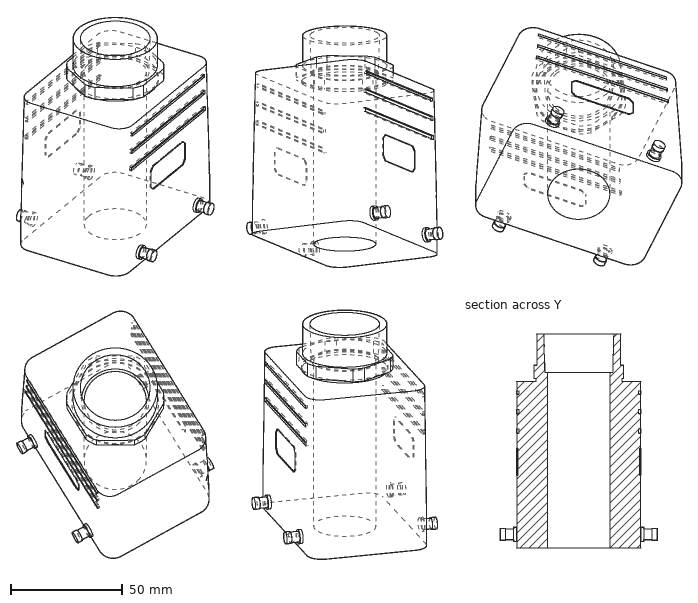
import cadquery as cq
import math

total_height = 96.5
total_width = 70.8
body_width = 56.0
skirt_depth = 82.0
roof_depth = 76.1
corner_radius = 7.0

skirt_top = 14.9
roof_level = 75.1
hex_bottom = 76.3
hex_top = 82.4
bore_shoulder = 79.1

collar_diameter = 39.0
hex_across_flats = 40.3
hex_across_corners = 43.8
socket_diameter = 38.0
socket_bore_mouth = 31.4
socket_bore_end = 30.4
through_bore = 28.0

pin_spacing = 49.4
pin_level = 6.2
flange_diameter = 6.5
flange_length = 1.35
neck_diameter = 4.9
head_diameter = 5.5
head_length = 2.3

groove_levels = [(51.8, 53.6), (60.6, 62.3), (69.4, 70.7)]
groove_depth = 1.0

label_width = 30.0
label_height = 12.1
label_level = 38.9
label_corner = 2.1
label_recess = 0.5

half_width = body_width / 2


def rounded_rectangle(depth):
    return cq.Sketch().rect(body_width, depth).vertices().fillet(corner_radius)


def cylinder_z(diameter, bottom, top):
    return cq.Workplane("XY").workplane(offset=bottom).circle(diameter / 2).extrude(top - bottom)


def make_housing():
    """Straight skirt with a hood above it that narrows in Y only."""
    skirt = cq.Workplane("XY").placeSketch(rounded_rectangle(skirt_depth)).extrude(skirt_top)
    hood_height = roof_level - skirt_top
    hood = (
        cq.Workplane("XY").workplane(offset=skirt_top)
        .placeSketch(
            rounded_rectangle(skirt_depth),
            rounded_rectangle(roof_depth).moved(cq.Location(cq.Vector(0, 0, hood_height))),
        )
        .loft(ruled=True)
    )
    return skirt.union(hood)


def flat_depth(level):
    """Y length of the flat side wall between the rounded corners at a hood level."""
    rise = (level - skirt_top) / (roof_level - skirt_top)
    return skirt_depth + (roof_depth - skirt_depth) * rise - 2 * corner_radius


def make_groove(side, bottom, top):
    return cq.Workplane("XY").box(2 * groove_depth, flat_depth(top), top - bottom).translate(
        (side * half_width, 0, (bottom + top) / 2)
    )


def make_label_recess(side):
    return (
        cq.Workplane("XY").box(2 * label_recess, label_width, label_height)
        .edges("|X").chamfer(label_corner)
        .translate((side * half_width, 0, label_level))
    )


def make_cable_entry():
    """Collar, hexagon and socket stacked on the roof."""
    hex_height = hex_top - hex_bottom
    hexagon = (
        cq.Workplane("XY").workplane(offset=hex_bottom)
        .transformed(rotate=(0, 0, 30))
        .polygon(6, hex_across_flats / math.cos(math.pi / 6))
        .extrude(hex_height)
        .intersect(cylinder_z(hex_across_corners, hex_bottom, hex_top))
    )
    collar = cylinder_z(collar_diameter, roof_level, hex_bottom)
    socket = cylinder_z(socket_diameter, hex_top, total_height)
    return collar.union(hexagon).union(socket)


def make_bore():
    """Slightly conical socket bore ending on a shoulder, then a plain bore through the part."""
    return (
        cq.Workplane("XZ")
        .polyline([
            (0, 0),
            (through_bore / 2, 0),
            (through_bore / 2, bore_shoulder),
            (socket_bore_end / 2, bore_shoulder),
            (socket_bore_mouth / 2, total_height),
            (0, total_height),
        ])
        .close()
        .revolve(360, (0, 0, 0), (0, 1, 0))
    )


def make_pin(side, y):
    """Flange, neck and head of one pin, pointing outward along X."""
    tip = total_width / 2 - half_width
    normal = cq.Vector(side, 0, 0)

    def section(diameter, start, end):
        base = cq.Vector(side * (half_width + start), y, pin_level)
        return cq.Workplane(cq.Solid.makeCylinder(diameter / 2, end - start, base, normal))

    flange = section(flange_diameter, 0, flange_length)
    neck = section(neck_diameter, 0, tip)
    head = section(head_diameter, tip - head_length, tip)
    return flange.union(neck).union(head)


result = make_housing().union(make_cable_entry())
for side in (-1, 1):
    for bottom, top in groove_levels:
        result = result.cut(make_groove(side, bottom, top))
    result = result.cut(make_label_recess(side))
    for y in (-pin_spacing / 2, pin_spacing / 2):
        result = result.union(make_pin(side, y))
result = result.cut(make_bore())